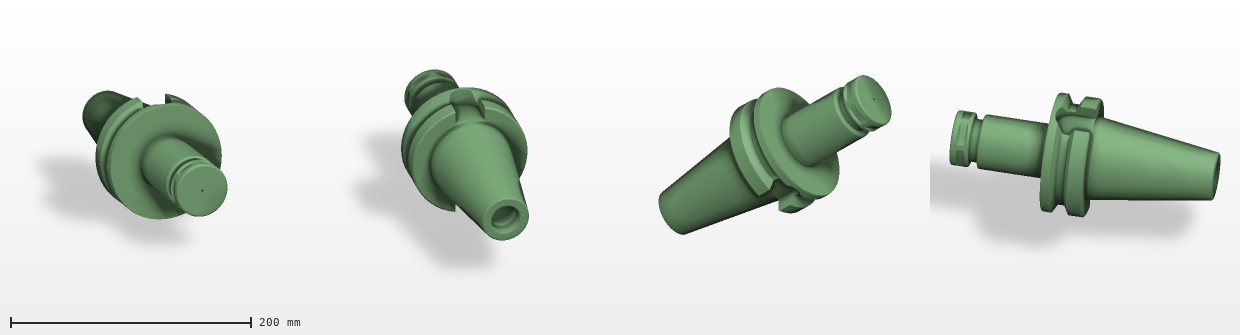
import cadquery as cq
import math


GAUGE_RADIUS = 69.85 / 2
TAPER_LENGTH = 101.8
TAPER_RATIO = 7 / 24
TAPER_END_CHAMFER = 0.8

COLLAR_RADIUS = 34.7
COLLAR_CHAMFER_LENGTH = 0.6
COLLAR_FLARE_START = 2.0
COLLAR_FLARE_RADIUS = 35.0
FACE_GROOVE_RADIUS = 37.2
FACE_GROOVE_DEPTH = 0.6

FLANGE_RADIUS = 50.0
FLANGE_START = 2.6
FLANGE_END = 38.0
FLANGE_FRONT_CHAMFER = 1.3
FLANGE_REAR_CHAMFER_LENGTH = 1.3
FLANGE_REAR_CHAMFER_HEIGHT = 0.4
V_GROOVE_FLOOR_START = 19.9
V_GROOVE_FLOOR_END = 26.3
V_GROOVE_FLOOR_RADIUS = 42.5
V_GROOVE_FLANK_ANGLE = 30.0

SLOT_WIDTH = 25.7
SLOT_FLOOR_RADIUS = 35.3
SLOT_END = 34.2

BODY_RADIUS = 23.0
BODY_END = 97.0
BODY_ROOT_RADIUS = 23.7
BODY_ROOT_LENGTH = 2.9
BODY_END_FILLET = 2.0
RING_GROOVE_START = 84.8
RING_GROOVE_WIDTH = 2.0
RING_GROOVE_DEPTH = 0.1
NECK_RADIUS = 18.0
NUT_START = 104.4
NUT_END = 120.0
NUT_REAR_FILLET = 2.0
NUT_FRONT_FILLET = 2.0

FLAT_COUNT = 6
FLAT_RADIUS = 20.9
FLAT_START = 108.2
FLAT_END = 114.2
FLAT_REAR_FLARE = 1.3
FLAT_FRONT_FLARE = 0.8

MOUTH_RADIUS = 13.5
MOUTH_CHAMFER_LENGTH = 0.5
COUNTERBORE_RADIUS = 12.5
COUNTERBORE_DEPTH = 11.0
THREAD_CREST_RADIUS = 10.65
THREAD_ENTRY_RADIUS = 11.5
THREAD_CHAMFER_LENGTH = THREAD_ENTRY_RADIUS - THREAD_CREST_RADIUS
COUNTERBORE_CHAMFER_LENGTH = 0.8
THREAD_BORE_DEPTH = 45.0
PILOT_RADIUS = 4.5
PILOT_DEPTH = 60.0
COOLANT_RADIUS = 2.5 / 2


def revolve_about_x(outline):
    return outline.close().revolve(360, (0, 0, 0), (1, 0, 0))


def make_taper_and_flange():
    small_radius = GAUGE_RADIUS - TAPER_LENGTH * TAPER_RATIO / 2
    chamfer_radius = small_radius + TAPER_END_CHAMFER * TAPER_RATIO / 2
    groove_floor = FLANGE_START + FACE_GROOVE_DEPTH
    flank_length = (FLANGE_RADIUS - V_GROOVE_FLOOR_RADIUS) * math.tan(math.radians(V_GROOVE_FLANK_ANGLE))
    outline = (
        cq.Workplane("XY")
        .moveTo(-TAPER_LENGTH, 0)
        .lineTo(-TAPER_LENGTH, small_radius - TAPER_END_CHAMFER)
        .lineTo(-TAPER_LENGTH + TAPER_END_CHAMFER, chamfer_radius)
        .lineTo(0, GAUGE_RADIUS)
        .lineTo(COLLAR_CHAMFER_LENGTH, COLLAR_RADIUS)
        .lineTo(COLLAR_FLARE_START, COLLAR_RADIUS)
        .lineTo(groove_floor, COLLAR_FLARE_RADIUS)
        .lineTo(groove_floor, FACE_GROOVE_RADIUS)
        .lineTo(FLANGE_START, FACE_GROOVE_RADIUS)
        .lineTo(FLANGE_START, FLANGE_RADIUS - FLANGE_FRONT_CHAMFER)
        .lineTo(FLANGE_START + FLANGE_FRONT_CHAMFER, FLANGE_RADIUS)
        .lineTo(V_GROOVE_FLOOR_START - flank_length, FLANGE_RADIUS)
        .lineTo(V_GROOVE_FLOOR_START, V_GROOVE_FLOOR_RADIUS)
        .lineTo(V_GROOVE_FLOOR_END, V_GROOVE_FLOOR_RADIUS)
        .lineTo(V_GROOVE_FLOOR_END + flank_length, FLANGE_RADIUS)
        .lineTo(FLANGE_END - FLANGE_REAR_CHAMFER_LENGTH, FLANGE_RADIUS)
        .lineTo(FLANGE_END, FLANGE_RADIUS - FLANGE_REAR_CHAMFER_HEIGHT)
        .lineTo(FLANGE_END, 0)
    )
    return revolve_about_x(outline)


def make_chuck_body():
    ring_groove_end = RING_GROOVE_START + RING_GROOVE_WIDTH
    outline = (
        cq.Workplane("XY")
        .moveTo(FLANGE_END, 0)
        .lineTo(FLANGE_END, BODY_ROOT_RADIUS)
        .lineTo(FLANGE_END + BODY_ROOT_LENGTH, BODY_RADIUS)
        .lineTo(RING_GROOVE_START, BODY_RADIUS)
        .lineTo(RING_GROOVE_START, BODY_RADIUS - RING_GROOVE_DEPTH)
        .lineTo(ring_groove_end, BODY_RADIUS - RING_GROOVE_DEPTH)
        .lineTo(ring_groove_end, BODY_RADIUS)
        .lineTo(BODY_END - BODY_END_FILLET, BODY_RADIUS)
        .radiusArc((BODY_END, BODY_RADIUS - BODY_END_FILLET), BODY_END_FILLET)
        .lineTo(BODY_END, NECK_RADIUS)
        .lineTo(NUT_START, NECK_RADIUS)
        .lineTo(NUT_START, 0)
    )
    return revolve_about_x(outline)


def make_nut():
    outline = (
        cq.Workplane("XY")
        .moveTo(NUT_START, 0)
        .lineTo(NUT_START, BODY_RADIUS - NUT_REAR_FILLET)
        .radiusArc((NUT_START + NUT_REAR_FILLET, BODY_RADIUS), NUT_REAR_FILLET)
        .lineTo(NUT_END - NUT_FRONT_FILLET, BODY_RADIUS)
        .radiusArc((NUT_END, BODY_RADIUS - NUT_FRONT_FILLET), NUT_FRONT_FILLET)
        .lineTo(NUT_END, 0)
    )
    nut = revolve_about_x(outline)
    for index in range(FLAT_COUNT):
        nut = nut.cut(make_flat_cutter().rotate((0, 0, 0), (1, 0, 0), index * 360 / FLAT_COUNT))
    return nut


def make_flat_cutter():
    """Trough with sloped end walls that cuts the flat facing +Y."""
    return (
        cq.Workplane("XY")
        .moveTo(FLAT_START, FLAT_RADIUS)
        .lineTo(FLAT_END, FLAT_RADIUS)
        .lineTo(FLAT_END + FLAT_FRONT_FLARE, BODY_RADIUS)
        .lineTo(FLAT_START - FLAT_REAR_FLARE, BODY_RADIUS)
        .close()
        .extrude(BODY_RADIUS, both=True)
    )


def make_key_slot_cutter():
    """Round-ended slot, open toward the taper, above its floor on the +Z side."""
    half_width = SLOT_WIDTH / 2
    arc_centre = SLOT_END - half_width
    return (
        cq.Workplane("XY", origin=(0, 0, SLOT_FLOOR_RADIUS))
        .moveTo(0, -half_width)
        .lineTo(arc_centre, -half_width)
        .threePointArc((SLOT_END, 0), (arc_centre, half_width))
        .lineTo(0, half_width)
        .close()
        .extrude(FLANGE_RADIUS - SLOT_FLOOR_RADIUS)
    )


def make_bore_cutter():
    mouth = -TAPER_LENGTH
    counterbore_floor = mouth + COUNTERBORE_DEPTH
    thread_entry = counterbore_floor + COUNTERBORE_CHAMFER_LENGTH
    thread_floor = mouth + THREAD_BORE_DEPTH
    pilot_floor = thread_floor + PILOT_DEPTH
    outline = (
        cq.Workplane("XY")
        .moveTo(mouth, 0)
        .lineTo(mouth, MOUTH_RADIUS)
        .lineTo(mouth + MOUTH_CHAMFER_LENGTH, COUNTERBORE_RADIUS)
        .lineTo(counterbore_floor, COUNTERBORE_RADIUS)
        .lineTo(thread_entry, THREAD_ENTRY_RADIUS)
        .lineTo(thread_entry + THREAD_CHAMFER_LENGTH, THREAD_CREST_RADIUS)
        .lineTo(thread_floor, THREAD_CREST_RADIUS)
        .lineTo(thread_floor, PILOT_RADIUS)
        .lineTo(pilot_floor, PILOT_RADIUS)
        .lineTo(pilot_floor, COOLANT_RADIUS)
        .lineTo(NUT_END, COOLANT_RADIUS)
        .lineTo(NUT_END, 0)
    )
    return revolve_about_x(outline)


holder = make_taper_and_flange().union(make_chuck_body()).union(make_nut())

key_slot = make_key_slot_cutter()
holder = holder.cut(key_slot)
holder = holder.cut(key_slot.rotate((0, 0, 0), (1, 0, 0), 180))

result = holder.cut(make_bore_cutter())